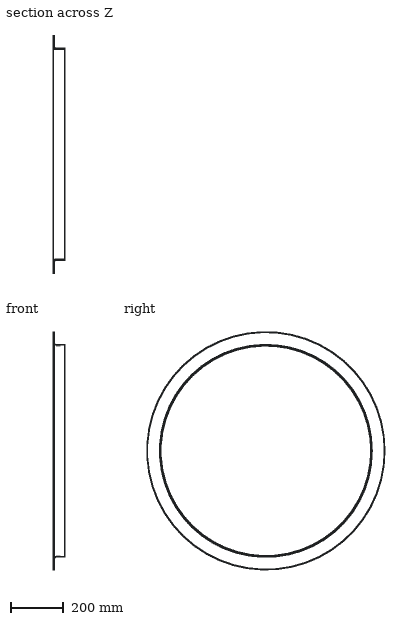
import cadquery as cq

flange_diameter = 905.0
collar_outer_diameter = 808.0
bore_diameter = 800.0
ring_depth = 45.0
mouth_radius = 11.0

flange_radius = flange_diameter / 2
collar_radius = collar_outer_diameter / 2
bore_radius = bore_diameter / 2

sheet_thickness = collar_radius - bore_radius
inside_bend_radius = mouth_radius - sheet_thickness

bend_axial = mouth_radius
bend_radial = bore_radius + mouth_radius


def ring_section():
    """Bent section in the XY plane: X along the ring axis, Y as radius."""
    return (
        cq.Workplane("XY")
        .moveTo(0, flange_radius)
        .lineTo(sheet_thickness, flange_radius)
        .lineTo(sheet_thickness, bend_radial)
        .radiusArc((bend_axial, collar_radius), -inside_bend_radius)
        .lineTo(ring_depth, collar_radius)
        .lineTo(ring_depth, bore_radius)
        .lineTo(bend_axial, bore_radius)
        .radiusArc((0, bend_radial), mouth_radius)
        .close()
    )


result = ring_section().revolve(360, (0, 0, 0), (1, 0, 0))